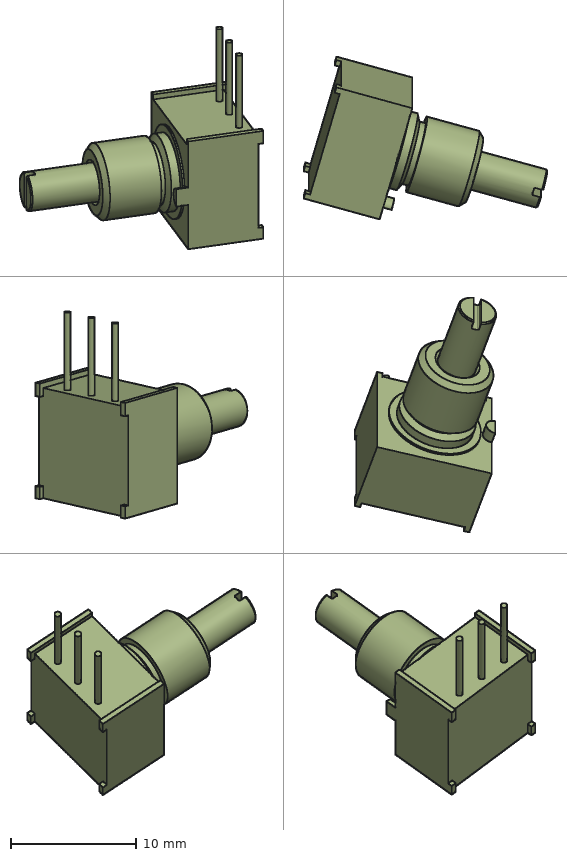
import cadquery as cq

body_size = 9.54
body_depth = 6.3
wall_thickness = 0.46
wall_rise = 0.45
rear_step = 0.4
upper_foot_height = 1.1
lower_foot_height = 1.01
core_top = body_size - wall_rise
core_depth = body_depth - rear_step

axis_height = 4.7
flange_diameter = 7.64
flange_thickness = 0.17
collar_diameter = 6.37
collar_length = 0.74
collar_taper_length = 0.31
neck_diameter = 5.2
neck_length = 0.5
bushing_diameter = 6.26
bushing_length = 4.77
bushing_chamfer = 0.46
mouth_diameter = 3.68

shaft_diameter = 3.17
shaft_reach = 18.41 - body_depth
shaft_chamfer = 0.11
slot_width = 0.63
slot_depth = 0.75
slot_floor_radius = 0.11

peg_diameter = 1.53
peg_length = 1.0

pin_diameter = 0.52
pin_spacing = 2.54
pin_top = 15.48
pin_rear_inset = 1.33
pin_embed = 0.18


def block(x_min, x_max, y_min, y_max, z_min, z_max):
    """Box given by its limits along each axis."""
    size = (x_max - x_min, y_max - y_min, z_max - z_min)
    return cq.Workplane("XY").box(*size, centered=False).translate((x_min, y_min, z_min))


def housing():
    """Core block with side walls that stand above it and end in rear feet."""
    half = body_size / 2
    body = block(-half, half, 0, core_depth, 0, core_top)
    for x_min in (-half, half - wall_thickness):
        x_max = x_min + wall_thickness
        wall = block(x_min, x_max, 0, body_depth, 0, body_size)
        rear_gap = block(
            x_min, x_max, core_depth, body_depth,
            lower_foot_height, body_size - upper_foot_height,
        )
        body = body.union(wall.cut(rear_gap))
    return body


def turned_parts():
    """Flange, collar, neck, bushing and shaft, revolved from one half profile."""
    flange_r = flange_diameter / 2
    collar_r = collar_diameter / 2
    neck_r = neck_diameter / 2
    bushing_r = bushing_diameter / 2
    mouth_r = mouth_diameter / 2
    shaft_r = shaft_diameter / 2

    collar_end = flange_thickness + collar_length
    taper_end = collar_end + collar_taper_length
    neck_end = taper_end + neck_length
    bushing_end = neck_end + bushing_length
    mouth_floor = bushing_end - (mouth_r - shaft_r)

    profile = [
        (0, 0),
        (flange_r, 0),
        (flange_r, flange_thickness),
        (collar_r, flange_thickness),
        (collar_r, collar_end),
        (neck_r, taper_end),
        (neck_r, neck_end),
        (bushing_r, neck_end),
        (bushing_r, bushing_end - bushing_chamfer),
        (bushing_r - bushing_chamfer, bushing_end),
        (mouth_r, bushing_end),
        (shaft_r, mouth_floor),
        (shaft_r, shaft_reach - shaft_chamfer),
        (shaft_r - shaft_chamfer, shaft_reach),
        (0, shaft_reach),
    ]
    outline = [(radius, -reach) for radius, reach in profile]
    solid = cq.Workplane("XY").polyline(outline).close().revolve(360, (0, 0, 0), (0, 1, 0))
    return solid.translate((0, 0, axis_height))


def screwdriver_slot():
    """Upright cutter for the shaft end, rounded along its floor edges."""
    half_width = slot_width / 2
    half_height = shaft_diameter / 2
    slot = block(
        -half_width, half_width, -shaft_reach, -shaft_reach + slot_depth,
        axis_height - half_height, axis_height + half_height,
    )
    return slot.edges("|Z and >Y").fillet(slot_floor_radius)


def locating_peg():
    """Half-round peg in front of the housing, flush with its +X side."""
    half = body_size / 2
    peg_r = peg_diameter / 2
    return (
        cq.Workplane("XZ")
        .moveTo(half, axis_height + peg_r)
        .threePointArc((half - peg_r, axis_height), (half, axis_height - peg_r))
        .close()
        .extrude(peg_length)
    )


def terminal_pins():
    """Row of three round pins rising from the core."""
    base = core_top - pin_embed
    return (
        cq.Workplane("XY", origin=(0, body_depth - pin_rear_inset, base))
        .rarray(pin_spacing, 0.18, 3, 1)
        .circle(pin_diameter / 2)
        .extrude(pin_top - base)
    )


result = (
    housing()
    .union(turned_parts())
    .union(locating_peg())
    .union(terminal_pins())
    .cut(screwdriver_slot())
)